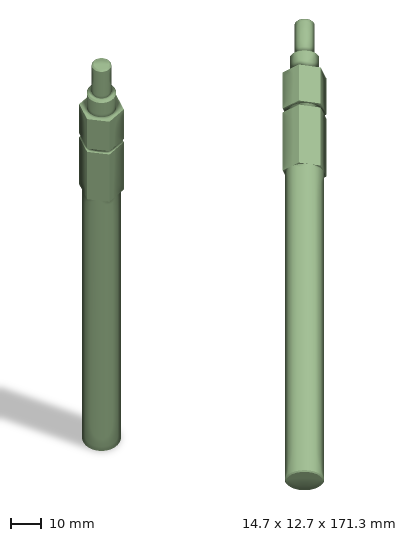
import cadquery as cq
import math

total_length = 171.32
hex_across_flats = 12.7

rod_diameter = 12.7
neck_diameter = 11.1
collar_diameter = 9.53
stud_diameter = 6.35

rod_length = 115.0
body_hex_length = 21.7
neck_length = 1.5
nut_length = 13.5
collar_length = 7.0
length_below_stud = rod_length + body_hex_length + neck_length + nut_length + collar_length
stud_length = total_length - length_below_stud

rod_chamfer = 0.4
collar_chamfer = 0.5
stud_chamfer = 0.5


def cylinder(diameter, length):
    """Round section standing on the XY plane."""
    return cq.Workplane("XY").circle(diameter / 2).extrude(length)


def hexagon(length):
    """Hexagonal section with corners on X and flats facing +Y and -Y."""
    across_corners = hex_across_flats / math.cos(math.pi / 6)
    return cq.Workplane("XY").polygon(6, across_corners).extrude(length)


def stack(sections):
    """Join (solid, length) sections end to end along +Z."""
    base_height = 0
    body = cq.Workplane("XY")
    for solid, length in sections:
        body = body.add(solid.translate((0, 0, base_height)))
        base_height += length
    return body.combine()


rod = cylinder(rod_diameter, rod_length).faces("<Z").chamfer(rod_chamfer)
body_hex = hexagon(body_hex_length)
neck = cylinder(neck_diameter, neck_length)
nut = hexagon(nut_length)
collar = cylinder(collar_diameter, collar_length).faces(">Z").chamfer(collar_chamfer)
stud = cylinder(stud_diameter, stud_length).faces(">Z").chamfer(stud_chamfer)

result = stack([
    (rod, rod_length),
    (body_hex, body_hex_length),
    (neck, neck_length),
    (nut, nut_length),
    (collar, collar_length),
    (stud, stud_length),
])